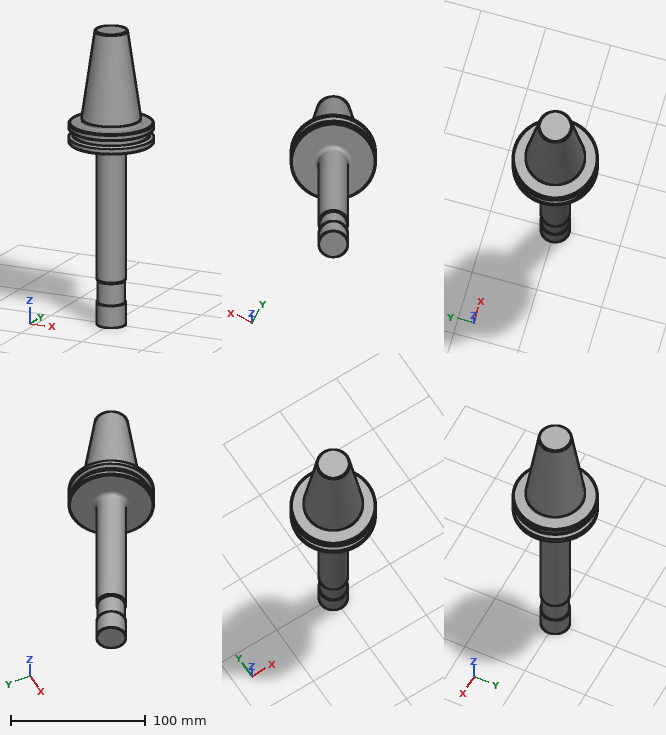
import cadquery as cq
import math


gauge_radius = 44.45 / 2
taper_length = 68.4
taper_ratio = 7 / 24
taper_tip_radius = gauge_radius - taper_length * taper_ratio / 2
taper_tip_chamfer = 0.6
taper_tip_chamfer_height = 1.0

relief_radius = 21.7
relief_top_chamfer = gauge_radius - relief_radius
relief_bottom_fillet = 0.6

flange_radius = 63.5 / 2
flange_top_z = -3.2
flange_bottom_z = -19.1
flange_edge_chamfer = 1.0
groove_center_z = -11.1
groove_root_radius = 56.25 / 2
groove_mouth_width = 7.0
groove_slot_width = 3.75
groove_wall_angle = 30
groove_slope_height = (groove_mouth_width - groove_slot_width) / 2
groove_slope_depth = groove_slope_height / math.tan(math.radians(groove_wall_angle))
groove_slot_radius = flange_radius - groove_slope_depth

shank_bottom_z = -160.0
shank_radius = 22.0 / 2
shank_root_fillet = 3.2

tip_length = 17.5
undercut_length = 16.5
undercut_radius = 20.6 / 2
undercut_bottom_z = shank_bottom_z + tip_length
undercut_top_z = undercut_bottom_z + undercut_length
undercut_chamfer_height = 1.5
tip_edge_chamfer = 0.4


def revolve_profile(profile):
    """Turn a closed radius/height profile about the Z axis."""
    return profile.close().revolve(360, (0, 0, 0), (0, 1, 0))


def make_taper():
    """Conical taper with a chamfered small end and the relief neck below it."""
    chamfer_z = taper_length - taper_tip_chamfer_height
    chamfer_radius = gauge_radius - chamfer_z * taper_ratio / 2
    fillet_top_z = flange_top_z + relief_bottom_fillet
    profile = (
        cq.Workplane("XZ")
        .moveTo(0, flange_top_z)
        .lineTo(relief_radius + relief_bottom_fillet, flange_top_z)
        .radiusArc((relief_radius, fillet_top_z), relief_bottom_fillet)
        .lineTo(relief_radius, -relief_top_chamfer)
        .lineTo(gauge_radius, 0)
        .lineTo(chamfer_radius, chamfer_z)
        .lineTo(taper_tip_radius - taper_tip_chamfer, taper_length)
        .lineTo(0, taper_length)
    )
    return revolve_profile(profile)


def make_flange():
    """Disc with chamfered rims and a V groove that ends in a straight slot."""
    disc = (
        cq.Workplane("XY", origin=(0, 0, flange_bottom_z))
        .circle(flange_radius)
        .extrude(flange_top_z - flange_bottom_z)
        .edges()
        .chamfer(flange_edge_chamfer)
    )
    mouth_half = groove_mouth_width / 2
    slot_half = groove_slot_width / 2
    groove = (
        cq.Workplane("XZ")
        .moveTo(groove_root_radius, groove_center_z - slot_half)
        .lineTo(groove_slot_radius, groove_center_z - slot_half)
        .lineTo(flange_radius, groove_center_z - mouth_half)
        .lineTo(flange_radius, groove_center_z + mouth_half)
        .lineTo(groove_slot_radius, groove_center_z + slot_half)
        .lineTo(groove_root_radius, groove_center_z + slot_half)
    )
    return disc.cut(revolve_profile(groove))


def make_shank():
    """Cylindrical shank with a root fillet, an undercut and a short tip."""
    root_z = flange_bottom_z - shank_root_fillet
    tip_edge_radius = shank_radius - tip_edge_chamfer
    profile = (
        cq.Workplane("XZ")
        .moveTo(0, flange_bottom_z)
        .lineTo(shank_radius + shank_root_fillet, flange_bottom_z)
        .radiusArc((shank_radius, root_z), -shank_root_fillet)
        .lineTo(shank_radius, undercut_top_z + undercut_chamfer_height)
        .lineTo(undercut_radius, undercut_top_z)
        .lineTo(undercut_radius, undercut_bottom_z)
        .lineTo(tip_edge_radius, undercut_bottom_z)
        .lineTo(shank_radius, undercut_bottom_z - tip_edge_chamfer)
        .lineTo(shank_radius, shank_bottom_z + tip_edge_chamfer)
        .lineTo(tip_edge_radius, shank_bottom_z)
        .lineTo(0, shank_bottom_z)
    )
    return revolve_profile(profile)


result = make_flange().union(make_taper()).union(make_shank())